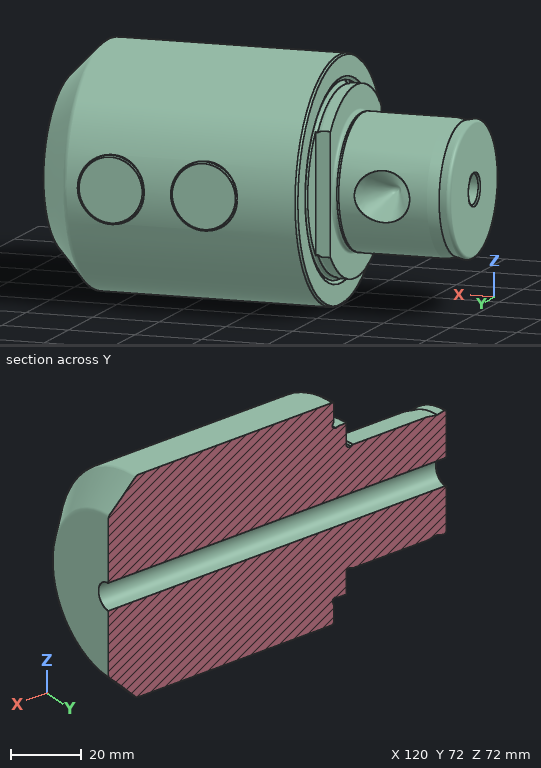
import cadquery as cq
import math

LENGTH = 120.0
HEAD_R = 36.0

SHANK_R = 20.0
SHANK_RIM_FILLET = 1.1
GRIP_GROOVE_R = 19.5
GRIP_GROOVE_X = 3.5
GRIP_GROOVE_END_X = 7.0

RELIEF_R = 19.7
RELIEF_START_X = 33.4
RELIEF_FLOOR_X = 34.1
RELIEF_FLOOR_END_X = 34.5
FLANGE_X = 35.5
RELIEF_FILLET = FLANGE_X - RELIEF_FLOOR_END_X

FLANGE_R = 27.7
FLANGE_TAPER_X = 38.3
FLANGE_FLAT_Y = 21.0

HEAD_X = 40.0
HEAD_BEVEL_LENGTH = 0.7
HEAD_BEVEL_HEIGHT = 0.4
NOSE_CHAMFER = 10.1
NOSE_FILLET = 1.7

FACE_GROOVE_INNER_R = 27.4
FACE_GROOVE_OUTER_R = 29.5
FACE_GROOVE_FILLET = 1.1
FACE_GROOVE_DEPTH = 0.5

HOLE_R = 4.5
HOLE_CHAMFER = 0.5

SEAT_X = 20.4
SEAT_R = 8.3
SEAT_ANGLE = 60.0

SCREW_R = 10.0
SCREW_LENGTH = 2 * SCREW_R
SCREW_CHAMFER = 0.5
SCREW_FROM_END = 24.0
SCREW_SPACING = 28.0
SCREW_XS = [LENGTH - SCREW_FROM_END - i * SCREW_SPACING for i in range(2)]


def y_axis_workplane(x, y):
    """Workplane at (x, y, 0) whose normal points inward, toward -Y."""
    return cq.Workplane("XZ", origin=(x, y, 0))


def quarter_arc_middle(center_x, center_r, x_side, r_side, radius):
    """Middle of the quarter arc that lies on the given sides of its center."""
    offset = radius * math.sin(math.radians(45))
    return (center_x + x_side * offset, center_r + r_side * offset)


def make_turned_body():
    """Shank, flange and head as one revolved profile."""
    relief_top_r = RELIEF_R + RELIEF_FILLET
    groove_bottom_x = HEAD_X + FACE_GROOVE_DEPTH
    groove_bottom_r = FACE_GROOVE_INNER_R + FACE_GROOVE_FILLET
    groove_start_x = groove_bottom_x - FACE_GROOVE_FILLET
    rim_mid = quarter_arc_middle(SHANK_RIM_FILLET, SHANK_R - SHANK_RIM_FILLET, -1, 1, SHANK_RIM_FILLET)
    relief_mid = quarter_arc_middle(RELIEF_FLOOR_END_X, relief_top_r, 1, -1, RELIEF_FILLET)
    groove_mid = quarter_arc_middle(groove_start_x, groove_bottom_r, 1, -1, FACE_GROOVE_FILLET)
    profile = (
        cq.Workplane("XY")
        .moveTo(0, 0)
        .lineTo(0, SHANK_R - SHANK_RIM_FILLET)
        .threePointArc(rim_mid, (SHANK_RIM_FILLET, SHANK_R))
        .lineTo(GRIP_GROOVE_X, GRIP_GROOVE_R)
        .lineTo(GRIP_GROOVE_END_X, SHANK_R)
        .lineTo(RELIEF_START_X, SHANK_R)
        .lineTo(RELIEF_FLOOR_X, RELIEF_R)
        .lineTo(RELIEF_FLOOR_END_X, RELIEF_R)
        .threePointArc(relief_mid, (FLANGE_X, relief_top_r))
        .lineTo(FLANGE_X, FLANGE_R)
        .lineTo(FLANGE_TAPER_X, FLANGE_R)
        .lineTo(groove_start_x, FACE_GROOVE_INNER_R)
        .threePointArc(groove_mid, (groove_bottom_x, groove_bottom_r))
        .lineTo(HEAD_X, FACE_GROOVE_OUTER_R)
        .lineTo(HEAD_X, HEAD_R - HEAD_BEVEL_HEIGHT)
        .lineTo(HEAD_X + HEAD_BEVEL_LENGTH, HEAD_R)
        .lineTo(LENGTH - NOSE_CHAMFER, HEAD_R)
        .lineTo(LENGTH, HEAD_R - NOSE_CHAMFER)
        .lineTo(LENGTH, 0)
        .close()
    )
    body = profile.revolve(360, (0, 0, 0), (1, 0, 0))
    nose_edges = cq.selectors.BoxSelector(
        (LENGTH - 2 * NOSE_CHAMFER, -HEAD_R, -HEAD_R),
        (LENGTH + NOSE_CHAMFER, HEAD_R, HEAD_R),
    )
    return body.edges("%CIRCLE").edges(nose_edges).fillet(NOSE_FILLET)


def make_flange_flats():
    """Two blocks that cut the flats, from the flange's front to the head's face."""
    flat_depth = FLANGE_R - FLANGE_FLAT_Y
    flat_width = HEAD_X - FLANGE_X
    blocks = cq.Workplane("XY")
    for side in (-1, 1):
        block = cq.Workplane("XY").box(flat_width, flat_depth, 2 * FLANGE_R)
        middle_y = side * (FLANGE_FLAT_Y + flat_depth / 2)
        blocks = blocks.add(block.translate((FLANGE_X + flat_width / 2, middle_y, 0)))
    return blocks.combine()


def make_coolant_hole():
    """Through hole along the axis with a chamfered mouth at the shank's end."""
    hole = cq.Workplane("YZ").circle(HOLE_R).extrude(LENGTH)
    mouth = cq.Solid.makeCone(
        HOLE_R + HOLE_CHAMFER, HOLE_R, HOLE_CHAMFER,
        pnt=cq.Vector(0, 0, 0), dir=cq.Vector(1, 0, 0),
    )
    return hole.union(cq.Workplane(mouth))


def make_conical_seat():
    """Pointed cone sunk into the shank from +Y."""
    depth = SEAT_R / math.tan(math.radians(SEAT_ANGLE / 2))
    cone = cq.Solid.makeCone(
        SEAT_R, 0, depth,
        pnt=cq.Vector(SEAT_X, SHANK_R, 0), dir=cq.Vector(0, -1, 0),
    )
    return cq.Workplane(cone)


def make_screw_hole(x):
    """Blind hole that fits one clamping screw."""
    return y_axis_workplane(x, HEAD_R).circle(SCREW_R).extrude(SCREW_LENGTH)


def make_holder():
    holder = make_turned_body()
    holder = holder.cut(make_flange_flats())
    holder = holder.cut(make_coolant_hole())
    holder = holder.cut(make_conical_seat())
    for x in SCREW_XS:
        holder = holder.cut(make_screw_hole(x))
    return holder


def make_screw(x):
    """Clamping screw with a chamfered outer end, flush with the head's diameter."""
    screw = y_axis_workplane(x, HEAD_R).circle(SCREW_R).extrude(SCREW_LENGTH)
    return screw.faces(">Y").chamfer(SCREW_CHAMFER)


holder = make_holder()
screws = [make_screw(x) for x in SCREW_XS]

result = cq.Compound.makeCompound([holder.val(), *[screw.val() for screw in screws]])